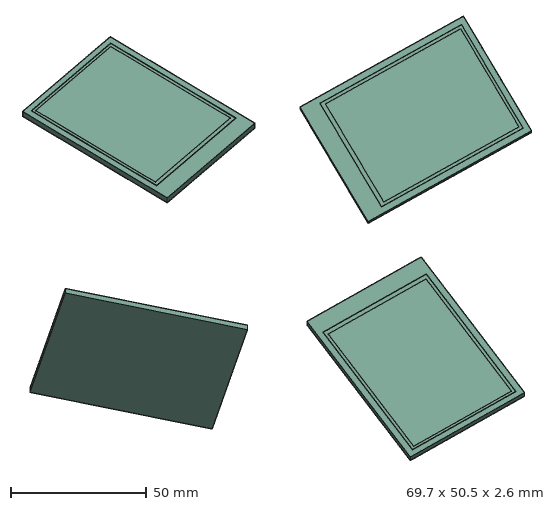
import cadquery as cq

plate_length = 69.7
plate_width = 50.5
plate_thickness = 2.6

pocket_length = 60.3
pocket_width = 45.6
pocket_depth = 1.3
pocket_end_margin = 2.25
pocket_center_x = -plate_length / 2 + pocket_end_margin + pocket_length / 2

panel_length = 57.6
panel_width = 43.2
panel_end_margin = 3.3
panel_center_x = -plate_length / 2 + panel_end_margin + panel_length / 2
inlay_recess = 0.2

pocket_floor = plate_thickness - pocket_depth
inlay_thickness = pocket_depth - inlay_recess


def block(length, width, height, center_x, bottom):
    """Rectangular block centred on the X axis, standing on the given height."""
    return (
        cq.Workplane("XY", origin=(center_x, 0, bottom))
        .rect(length, width)
        .extrude(height)
    )


def make_housing():
    plate = block(plate_length, plate_width, plate_thickness, 0, 0)
    pocket = block(pocket_length, pocket_width, pocket_depth, pocket_center_x, pocket_floor)
    return plate.cut(pocket)


def make_panel():
    return block(panel_length, panel_width, inlay_thickness, panel_center_x, pocket_floor)


def make_border():
    """Frame that fills the pocket between its wall and the panel."""
    slab = block(pocket_length, pocket_width, inlay_thickness, pocket_center_x, pocket_floor)
    return slab.cut(make_panel())


housing = make_housing()
border = make_border()
panel = make_panel()

result = cq.Compound.makeCompound([housing.val(), border.val(), panel.val()])